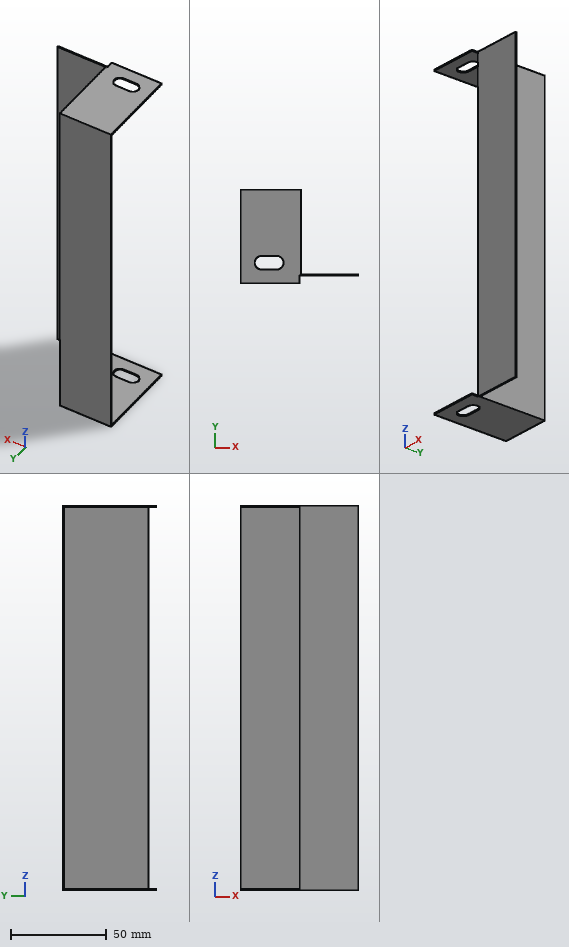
import cadquery as cq

sheet = 0.8
inner_height = 200.0
pocket_width = 31.0
pocket_depth = 44.3
flange_reach = 30.0
plate_overhang = 4.0

slot_length = 15.0
slot_width = 7.0
slot_center_x = 15.0
slot_setback = 10.8

side_outer_x = pocket_width + sheet
overall_width = side_outer_x + flange_reach
overall_height = inner_height + 2 * sheet
back_y = pocket_depth + sheet
plate_depth = back_y + plate_overhang


def block(x_start, y_start, z_start, x_size, y_size, z_size):
    """Box placed by its lowest corner."""
    box = cq.Workplane("XY").box(x_size, y_size, z_size, centered=False)
    return box.translate((x_start, y_start, z_start))


def walls():
    """Back wall, side wall and outward flange, all of full height."""
    back = block(0, pocket_depth, 0, side_outer_x, sheet, overall_height)
    side = block(pocket_width, 0, 0, sheet, back_y, overall_height)
    flange = block(pocket_width, 0, 0, overall_width - pocket_width, sheet, overall_height)
    return back.union(side).union(flange)


def end_plate(z_start):
    """Plate across one end, with a slot near its front edge."""
    plate = block(0, -plate_overhang, z_start, pocket_width, plate_depth, sheet)
    slot = (
        cq.Workplane("XY", origin=(slot_center_x, slot_setback - plate_overhang, z_start))
        .slot2D(slot_length, slot_width)
        .extrude(sheet)
    )
    return plate.cut(slot)


result = walls()
for plate_z in (0, overall_height - sheet):
    result = result.union(end_plate(plate_z))